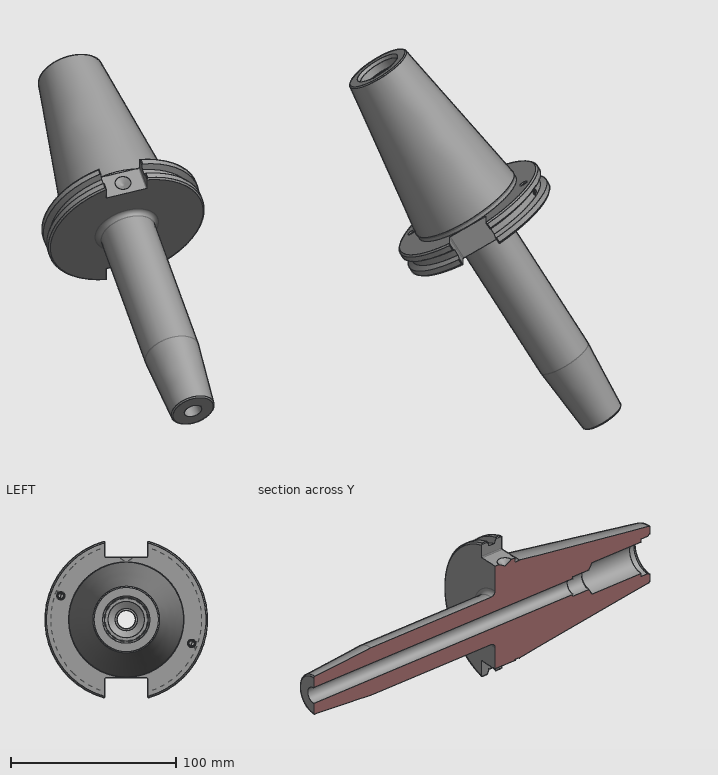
import cadquery as cq
import math


TAPER_LENGTH = 101.6
GAUGE_DIA = 69.85
TAPER_RATIO = 7 / 24
TAPER_REAR_CHAMFER = 0.7
NECK_DIA = 69.25
NECK_START = 1.0

FLANGE_DIA = 98.43
FLANGE_REAR = 3.18
FLANGE_FRONT = 19.05
FLANGE_CHAMFER = 1.0
GROOVE_CENTER = 11.1
GROOVE_FLOOR_DIA = 91.2
GROOVE_FLOOR_WIDTH = 4.0
GROOVE_MOUTH_WIDTH = 7.2

SHANK_DIA = 34.0
SHANK_ROOT_FILLET = 3.0
NOSE_LENGTH = 44.5
NOSE_ANGLE = 4.5
FRONT_END = 160.0
TIP_CHAMFER = 0.8

MOUTH_DIA = 28.6
MOUTH_DEPTH = 2.0
COUNTERBORE_DIA = 26.2
COUNTERBORE_DEPTH = 7.0
THREAD_DIA = 21.97
THREAD_DEPTH = 45.0
PILOT_DIA = 13.5
PILOT_DEPTH = 60.0
DRILL_HALF_ANGLE = 59
THROUGH_DIA = 10.92

SLOT_WIDTH = 25.7
SLOT_FLOOR_FILLET = 0.5
SLOT_RIM_CHAMFER = 0.6
UPPER_SLOT_FLOOR = 37.7
LOWER_SLOT_FLOOR = 35.3
SPOT_DIA = 9.53

PORT_ANGLE = 20
PORT_CIRCLE_RADIUS = 42.1
AXIAL_MOUTH_DIA = 5.0
AXIAL_MOUTH_DEPTH = 1.0
AXIAL_ENTRY_DIA = 4.2
AXIAL_ENTRY_DEPTH = 5.0
AXIAL_DIA = 3.24
RADIAL_ENTRY_DIA = 4.13
RADIAL_ENTRY_DEPTH = 1.0
RADIAL_DIA = 2.46

SELECT_MARGIN = 0.01


def revolve(outline):
    """Turn an (X, radius) outline into a solid about the X axis."""
    return cq.Workplane("XY").polyline(outline).close().revolve(360, (0, 0, 0), (1, 0, 0))


def make_body():
    """Taper, flange and shank as one turned solid with a fillet at the shank root."""
    rear = -TAPER_LENGTH
    rear_radius = (GAUGE_DIA - TAPER_RATIO * TAPER_LENGTH) / 2
    flange_radius = FLANGE_DIA / 2
    nose_start = FRONT_END - NOSE_LENGTH
    nose_slope = math.tan(math.radians(NOSE_ANGLE))
    tip_radius = SHANK_DIA / 2 - NOSE_LENGTH * nose_slope
    outline = [
        (rear, 0),
        (rear, rear_radius - TAPER_REAR_CHAMFER),
        (rear + TAPER_REAR_CHAMFER, rear_radius + TAPER_REAR_CHAMFER * TAPER_RATIO / 2),
        (0, GAUGE_DIA / 2),
        (NECK_START, NECK_DIA / 2),
        (FLANGE_REAR, NECK_DIA / 2),
        (FLANGE_REAR, flange_radius - FLANGE_CHAMFER),
        (FLANGE_REAR + FLANGE_CHAMFER, flange_radius),
        (FLANGE_FRONT - FLANGE_CHAMFER, flange_radius),
        (FLANGE_FRONT, flange_radius - FLANGE_CHAMFER),
        (FLANGE_FRONT, SHANK_DIA / 2),
        (nose_start, SHANK_DIA / 2),
        (FRONT_END - TIP_CHAMFER, tip_radius + TIP_CHAMFER * nose_slope),
        (FRONT_END, tip_radius - TIP_CHAMFER),
        (FRONT_END, 0),
    ]
    root_edge = cq.selectors.BoxSelector(
        (FLANGE_FRONT - SELECT_MARGIN, -SHANK_DIA, -SHANK_DIA),
        (FLANGE_FRONT + SELECT_MARGIN, SHANK_DIA, SHANK_DIA),
        boundingbox=True,
    )
    return revolve(outline).edges(root_edge).fillet(SHANK_ROOT_FILLET)


def make_gripper_groove():
    floor_radius = GROOVE_FLOOR_DIA / 2
    rim_radius = FLANGE_DIA / 2
    half_floor = GROOVE_FLOOR_WIDTH / 2
    half_rim = GROOVE_MOUTH_WIDTH / 2
    outline = [
        (GROOVE_CENTER - half_floor, floor_radius),
        (GROOVE_CENTER - half_rim, rim_radius),
        (GROOVE_CENTER + half_rim, rim_radius),
        (GROOVE_CENTER + half_floor, floor_radius),
    ]
    return revolve(outline)


def make_central_bore():
    rear = -TAPER_LENGTH
    counterbore_radius = COUNTERBORE_DIA / 2
    thread_radius = THREAD_DIA / 2
    pilot_radius = PILOT_DIA / 2
    through_radius = THROUGH_DIA / 2
    drill_slope = math.tan(math.radians(DRILL_HALF_ANGLE))
    thread_end = rear + THREAD_DEPTH
    pilot_start = thread_end + (thread_radius - pilot_radius) / drill_slope
    pilot_end = rear + PILOT_DEPTH
    outline = [
        (rear, 0),
        (rear, MOUTH_DIA / 2),
        (rear + MOUTH_DEPTH, counterbore_radius),
        (rear + COUNTERBORE_DEPTH, counterbore_radius),
        (rear + COUNTERBORE_DEPTH, thread_radius),
        (thread_end, thread_radius),
        (pilot_start, pilot_radius),
        (pilot_end, pilot_radius),
        (pilot_end, through_radius),
        (FRONT_END, through_radius),
        (FRONT_END, 0),
    ]
    return revolve(outline)


def make_drive_slot(floor_height, side):
    """Slot across the flange rim; side is +1 for the top and -1 for the bottom."""
    slot_height = FLANGE_DIA / 2 - floor_height
    slot_length = FLANGE_FRONT - FLANGE_REAR
    slot = cq.Workplane("XY").box(slot_length, SLOT_WIDTH, slot_height)
    floor = "<Z" if side > 0 else ">Z"
    slot = slot.faces(floor).edges("|X").fillet(SLOT_FLOOR_FILLET)
    return slot.translate((FLANGE_REAR + slot_length / 2, 0, side * (floor_height + slot_height / 2)))


def make_slot_rim_chamfer(side_y, side_z):
    """Triangular bar that breaks one rim corner of a drive slot at 45 degrees."""
    half_slot = SLOT_WIDTH / 2
    rim_height = math.sqrt((FLANGE_DIA / 2) ** 2 - (half_slot + SLOT_RIM_CHAMFER) ** 2)
    outline = [
        (side_y * half_slot, side_z * (rim_height - SLOT_RIM_CHAMFER)),
        (side_y * (half_slot + SLOT_RIM_CHAMFER), side_z * rim_height),
        (side_y * half_slot, side_z * FLANGE_DIA / 2),
    ]
    bar = cq.Workplane("YZ", origin=(FLANGE_REAR, 0, 0)).polyline(outline).close()
    return bar.extrude(FLANGE_FRONT - FLANGE_REAR)


def make_spot_hole():
    """Conical drill spot in the floor of the upper drive slot."""
    radius = SPOT_DIA / 2
    tip_depth = radius / math.tan(math.radians(DRILL_HALF_ANGLE))
    outline = [
        (0, UPPER_SLOT_FLOOR),
        (radius, UPPER_SLOT_FLOOR),
        (0, UPPER_SLOT_FLOOR - tip_depth),
    ]
    hole = cq.Workplane("XZ").polyline(outline).close().revolve(360, (0, 0, 0), (0, 1, 0))
    return hole.translate((GROOVE_CENTER, 0, 0))


def make_coolant_port(angle):
    """Stepped axial and radial holes that meet under the gripper groove."""
    axial_outline = [
        (FLANGE_REAR, 0),
        (FLANGE_REAR, AXIAL_MOUTH_DIA / 2),
        (FLANGE_REAR + AXIAL_MOUTH_DEPTH, AXIAL_MOUTH_DIA / 2),
        (FLANGE_REAR + AXIAL_MOUTH_DEPTH, AXIAL_ENTRY_DIA / 2),
        (FLANGE_REAR + AXIAL_ENTRY_DEPTH, AXIAL_ENTRY_DIA / 2),
        (FLANGE_REAR + AXIAL_ENTRY_DEPTH, AXIAL_DIA / 2),
        (GROOVE_CENTER, AXIAL_DIA / 2),
        (GROOVE_CENTER, 0),
    ]
    axial = revolve(axial_outline).translate((0, PORT_CIRCLE_RADIUS, 0))
    entry_floor = GROOVE_FLOOR_DIA / 2 - RADIAL_ENTRY_DEPTH
    groove_plane = cq.Workplane("XZ", origin=(GROOVE_CENTER, 0, 0))
    entry = groove_plane.workplane(offset=-entry_floor).circle(RADIAL_ENTRY_DIA / 2).extrude(
        entry_floor - FLANGE_DIA / 2
    )
    radial = groove_plane.workplane(offset=-PORT_CIRCLE_RADIUS).circle(RADIAL_DIA / 2).extrude(
        PORT_CIRCLE_RADIUS - FLANGE_DIA / 2
    )
    port = axial.union(entry).union(radial)
    return port.rotate((0, 0, 0), (1, 0, 0), angle)


body = make_body()
body = body.cut(make_gripper_groove())
body = body.cut(make_central_bore())
body = body.cut(make_drive_slot(UPPER_SLOT_FLOOR, 1))
body = body.cut(make_drive_slot(LOWER_SLOT_FLOOR, -1))
body = body.cut(make_spot_hole())
for side_y in (1, -1):
    for side_z in (1, -1):
        body = body.cut(make_slot_rim_chamfer(side_y, side_z))
for angle in (PORT_ANGLE, PORT_ANGLE + 180):
    body = body.cut(make_coolant_port(angle))

result = body